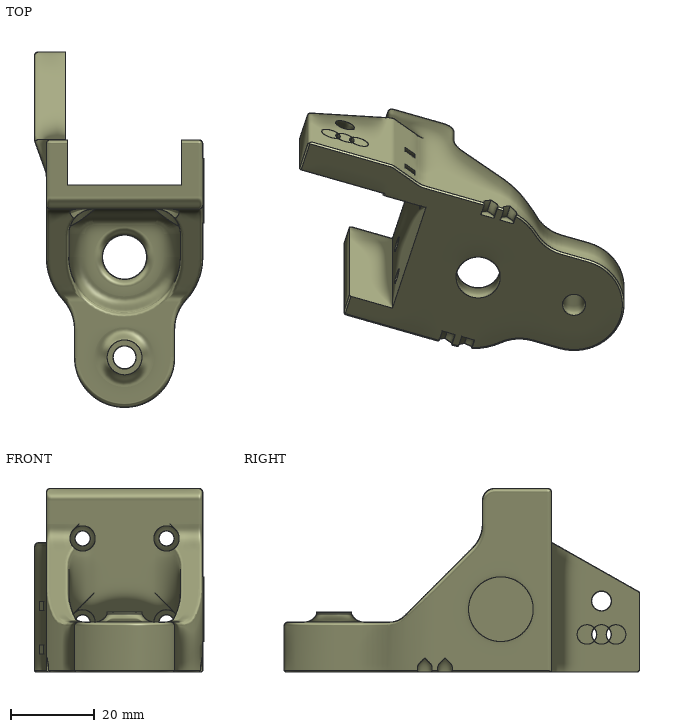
import cadquery as cq
import math

HEIGHT = 43.9
HALF_WIDTH = 18.7
BACK_Y = 52.0
WALL_FRONT_Y = 35.4
CHANNEL_HALF_WIDTH = 13.6
CHANNEL_FRONT_Y = 41.2
EDGE_ROUND = 1.0
BASE_CHAMFER = 0.4
TOLERANCE = 0.04

ARM_RADIUS = 12.0
ARM_TOP = 12.0
NECK_START_Y = 6.8
BORE_Y = 23.9
SHOULDER_RADIUS = 15.0
SLOPE_OFFSET = 3.4
CROWN_RADIUS = 3.0
WALL_SLOPE_RADIUS = 8.0
ARM_SLOPE_RADIUS = 5.0
PROFILE_MARGIN = 8.5

POCKET_FLOOR = 8.0
POCKET_RADIUS = 13.3
POCKET_CORNER_RADIUS = 6.0
POCKET_FLOOR_RADIUS = 3.9

BORE_DIAMETER = 10.5
BORE_LIP_RADIUS = 1.95
ARM_HOLE_DIAMETER = 5.4
BOSS_DIAMETER = 8.3
BOSS_HEIGHT = 2.4
BOSS_LAND = 0.4
BOSS_FLARE = 3.0

BOLT_PITCH = 20.0
BOLT_LOWER_Z = 11.9
BOLT_DIAMETER = 3.6
BOLT_HEAD_DIAMETER = 6.0
BOLT_HEAD_RECESS = 3.0

CABLE_DIAMETER = 3.6
CABLE_AXIS_Z = 0.85
CABLE_DEPTH = 3.0
CABLE_YS = (21.65, 26.5)

DISC_DIAMETER = 15.45
DISC_THICKNESS = 0.3
DISC_Y = 39.8
DISC_Z = 15.0

PLATE_OUTER_X = -21.6
PLATE_INNER_X = -14.1
PLATE_END_Y = 84.9 - ARM_RADIUS
PLATE_END_Z = 19.1
PLATE_SLOPE_ANGLE = 29.5
PLATE_TOP = 30.9
WEDGE_BACK_Y = 51.9
WEDGE_FRONT_Y = 43.9
WEDGE_ROOT_LENGTH = 2.55
WEDGE_ROOT_DEPTH = 3.4
WEDGE_CONVEX_RADIUS = 3.0
WEDGE_CONCAVE_RADIUS = 6.0

INSERT_DIAMETER = 4.7
INSERT_Y = 63.85
INSERT_UPPER_Z = 17.0
INSERT_LOWER_Z = 9.0
INSERT_PITCH = 3.5
PLUG_NECK = 0.1

TIE_CENTRE_Y = 47.0
TIE_CENTRE_Z = 10.6
TIE_WIDTH = 3.0
TIE_LEAD = 2.2
TIE_OUTER_RADIUS = 8.5
TIE_INNER_RADIUS = 7.05
TIE_AXIS_OFFSET = 5.7


def bracket_plan():
    """Plan outline: wide body, rounded shoulders, necks and a round arm end."""
    shoulder_x = HALF_WIDTH - SHOULDER_RADIUS
    rise = BORE_Y - NECK_START_Y
    neck_gap = ARM_RADIUS - shoulder_x
    neck_radius = (SHOULDER_RADIUS**2 - neck_gap**2 - rise**2) / (2 * (neck_gap - SHOULDER_RADIUS))
    neck_x = ARM_RADIUS + neck_radius
    angle = math.atan2(rise, neck_x - shoulder_x)

    def shoulder(a):
        return shoulder_x + SHOULDER_RADIUS * math.cos(a), BORE_Y - SHOULDER_RADIUS * math.sin(a)

    def neck(a):
        return neck_x - neck_radius * math.cos(a), NECK_START_Y + neck_radius * math.sin(a)

    def mirrored(point):
        return -point[0], point[1]

    return (
        cq.Workplane("XY")
        .moveTo(-HALF_WIDTH, BACK_Y)
        .lineTo(HALF_WIDTH, BACK_Y)
        .lineTo(*shoulder(0))
        .threePointArc(shoulder(angle / 2), shoulder(angle))
        .threePointArc(neck(angle / 2), neck(0))
        .lineTo(ARM_RADIUS, 0)
        .threePointArc((0, -ARM_RADIUS), (-ARM_RADIUS, 0))
        .lineTo(*mirrored(neck(0)))
        .threePointArc(mirrored(neck(angle / 2)), mirrored(neck(angle)))
        .threePointArc(mirrored(shoulder(angle / 2)), mirrored(shoulder(0)))
        .close()
    )


def side_profile():
    """Side shape across the width: tall wall, 45 degree slope, low arm."""
    slope_top_z = WALL_FRONT_Y - SLOPE_OFFSET
    slope_foot_y = ARM_TOP + SLOPE_OFFSET
    profile = (
        cq.Workplane("YZ")
        .moveTo(BACK_Y, 0)
        .lineTo(BACK_Y, HEIGHT)
        .lineTo(WALL_FRONT_Y, HEIGHT)
        .lineTo(WALL_FRONT_Y, slope_top_z)
        .lineTo(slope_foot_y, ARM_TOP)
        .lineTo(-ARM_RADIUS - PROFILE_MARGIN, ARM_TOP)
        .lineTo(-ARM_RADIUS - PROFILE_MARGIN, 0)
        .close()
        .extrude(HALF_WIDTH + PROFILE_MARGIN, both=True)
    )
    corners = (
        ((WALL_FRONT_Y, HEIGHT), CROWN_RADIUS),
        ((WALL_FRONT_Y, slope_top_z), WALL_SLOPE_RADIUS),
        ((slope_foot_y, ARM_TOP), ARM_SLOPE_RADIUS),
    )
    for (y, z), radius in corners:
        profile = profile.edges(cq.selectors.NearestToPointSelector((0, y, z))).fillet(radius)
    return profile


def bracket_block():
    """Solid bracket with its base chamfer and rounded edges."""
    block = bracket_plan().extrude(HEIGHT).intersect(side_profile())
    block = block.faces("<Z").edges().chamfer(BASE_CHAMFER)
    above_arm = cq.selectors.BoxSelector(
        (-2 * HALF_WIDTH, -2 * ARM_RADIUS, ARM_TOP - TOLERANCE),
        (2 * HALF_WIDTH, 2 * BACK_Y, HEIGHT + TOLERANCE),
        boundingbox=True,
    )
    rim = block.edges("not |X").edges(above_arm)
    back_corners = block.edges("|Z").edges(">Y")
    top_back_edge = block.faces(">Z").edges(">Y")
    return block.newObject(rim.vals() + back_corners.vals() + top_back_edge.vals()).fillet(EDGE_ROUND)


def pocket():
    """Deep scoop between the wall and the arm with rounded floor edges."""
    tool = (
        cq.Workplane("XY", origin=(0, 0, POCKET_FLOOR))
        .moveTo(-POCKET_RADIUS, BORE_Y)
        .threePointArc((0, BORE_Y - POCKET_RADIUS), (POCKET_RADIUS, BORE_Y))
        .lineTo(POCKET_RADIUS, WALL_FRONT_Y)
        .lineTo(-POCKET_RADIUS, WALL_FRONT_Y)
        .close()
        .extrude(HEIGHT)
    )
    tool = tool.edges("|Z and >Y").fillet(POCKET_CORNER_RADIUS)
    return tool.faces("<Z").edges().fillet(POCKET_FLOOR_RADIUS)


def with_pocket(body):
    """Cut the pocket and round its rim along the arm and the slope."""
    body = body.cut(pocket())
    reach = POCKET_RADIUS + TOLERANCE
    rim_box = cq.selectors.BoxSelector(
        (-reach, BORE_Y - reach, ARM_TOP - TOLERANCE),
        (reach, WALL_FRONT_Y, WALL_FRONT_Y - SLOPE_OFFSET),
        boundingbox=True,
    )
    return body.edges("not (|X or |Z)").edges(rim_box).fillet(EDGE_ROUND)


def flared_bore():
    """Large through bore with a rounded lip at the pocket floor."""
    radius = BORE_DIAMETER / 2
    lip = BORE_LIP_RADIUS
    middle = lip * (1 - math.sqrt(0.5))
    return (
        cq.Workplane("XZ", origin=(0, BORE_Y, 0))
        .moveTo(0, 0)
        .lineTo(radius, 0)
        .lineTo(radius, POCKET_FLOOR - lip)
        .threePointArc((radius + middle, POCKET_FLOOR - middle), (radius + lip, POCKET_FLOOR))
        .lineTo(0, POCKET_FLOOR)
        .close()
        .revolve(360, (0, 0, 0), (0, 1, 0))
    )


def flared_boss():
    """Bearing seat on the arm, with a concave foot."""
    radius = BOSS_DIAMETER / 2
    flare_height = BOSS_HEIGHT - BOSS_LAND
    foot = radius + BOSS_FLARE
    chord = math.hypot(BOSS_FLARE, flare_height)
    curve_radius = chord**2 / (2 * flare_height)
    half_turn = math.asin(BOSS_FLARE / curve_radius) / 2
    middle = (
        foot - curve_radius * math.sin(half_turn),
        ARM_TOP + curve_radius * (1 - math.cos(half_turn)),
    )
    return (
        cq.Workplane("XZ")
        .moveTo(0, ARM_TOP)
        .lineTo(foot, ARM_TOP)
        .threePointArc(middle, (radius, ARM_TOP + flare_height))
        .lineTo(radius, ARM_TOP + BOSS_HEIGHT)
        .lineTo(0, ARM_TOP + BOSS_HEIGHT)
        .close()
        .revolve(360, (0, 0, 0), (0, 1, 0))
    )


def cylinder_y(x, z, diameter, y_from, y_to):
    return (
        cq.Workplane("XZ", origin=(x, y_from, z))
        .circle(diameter / 2)
        .extrude(y_from - y_to)
    )


def bolt_cutters():
    """Four bolt holes through the wall with head clearance on the pocket side."""
    cutters = []
    for side in (-1, 1):
        x = side * BOLT_PITCH / 2
        for z in (BOLT_LOWER_Z, BOLT_LOWER_Z + BOLT_PITCH):
            head_start_y = WALL_FRONT_Y - POCKET_CORNER_RADIUS
            head_seat_y = WALL_FRONT_Y + BOLT_HEAD_RECESS
            cutters.append(cylinder_y(x, z, BOLT_DIAMETER, WALL_FRONT_Y, CHANNEL_FRONT_Y))
            cutters.append(cylinder_y(x, z, BOLT_HEAD_DIAMETER, head_start_y, head_seat_y))
            cutters.append(bolt_head_relief(side, z))
    return cutters


def bolt_head_relief(side, z):
    """Sloping 45 degree ceiling over a bolt head, up to the flat of the wall."""
    x = BOLT_PITCH / 2
    radius = BOLT_HEAD_DIAMETER / 2
    tangent = radius * math.sqrt(0.5)
    flat_x = POCKET_RADIUS - POCKET_CORNER_RADIUS
    ceiling_z = z + radius * math.sqrt(2) + x - flat_x
    return (
        cq.Workplane("XZ", origin=(0, WALL_FRONT_Y, 0))
        .moveTo(side * flat_x, z)
        .lineTo(side * flat_x, ceiling_z)
        .lineTo(side * (x + tangent), z + tangent)
        .lineTo(side * x, z)
        .close()
        .extrude(POCKET_CORNER_RADIUS)
    )


def cable_notch(side, y):
    """Blind teardrop notch along the underside."""
    radius = CABLE_DIAMETER / 2
    tangent = radius * math.sqrt(0.5)
    start_x = side * (HALF_WIDTH - CABLE_DEPTH)
    return (
        cq.Workplane("YZ", origin=(start_x, y, CABLE_AXIS_Z))
        .moveTo(-tangent, tangent)
        .lineTo(0, radius * math.sqrt(2))
        .lineTo(tangent, tangent)
        .threePointArc((0, -radius), (-tangent, tangent))
        .close()
        .extrude(side * 2 * CABLE_DEPTH)
    )


def raised_disc():
    return (
        cq.Workplane("YZ", origin=(HALF_WIDTH, DISC_Y, DISC_Z))
        .circle(DISC_DIAMETER / 2)
        .extrude(DISC_THICKNESS)
    )


def side_plate():
    """Plate behind the left leg, joined to the housing side by a tapering wedge."""
    root_x = -HALF_WIDTH + WEDGE_ROOT_DEPTH
    root_y = WEDGE_FRONT_Y - WEDGE_ROOT_LENGTH
    plate = (
        cq.Workplane("XY")
        .moveTo(PLATE_INNER_X, PLATE_END_Y)
        .lineTo(PLATE_OUTER_X, PLATE_END_Y)
        .lineTo(PLATE_OUTER_X, WEDGE_BACK_Y)
        .lineTo(-HALF_WIDTH, WEDGE_FRONT_Y)
        .lineTo(-HALF_WIDTH, root_y)
        .lineTo(root_x, root_y)
        .lineTo(PLATE_INNER_X, WEDGE_BACK_Y - 0.85)
        .close()
        .extrude(PLATE_TOP)
    )
    convex = cq.selectors.NearestToPointSelector((PLATE_OUTER_X, WEDGE_BACK_Y, PLATE_TOP / 2))
    concave = cq.selectors.NearestToPointSelector((-HALF_WIDTH, WEDGE_FRONT_Y, PLATE_TOP / 2))
    plate = plate.edges(convex).fillet(WEDGE_CONVEX_RADIUS)
    plate = plate.edges(concave).fillet(WEDGE_CONCAVE_RADIUS)

    slope_run = (PLATE_TOP - PLATE_END_Z) / math.tan(math.radians(PLATE_SLOPE_ANGLE))
    above_slope = (
        cq.Workplane("YZ")
        .moveTo(PLATE_END_Y, PLATE_END_Z)
        .lineTo(PLATE_END_Y - slope_run, PLATE_TOP)
        .lineTo(PLATE_END_Y, PLATE_TOP)
        .close()
        .extrude(2 * PLATE_OUTER_X)
    )
    plate = plate.cut(above_slope)
    plate = plate.faces("<Z").edges("<X or >Y").chamfer(BASE_CHAMFER)
    end_edge = plate.edges("|Z").edges(">Y").edges("<X")
    slope_edge = plate.edges(cq.selectors.NearestToPointSelector(
        (PLATE_OUTER_X, PLATE_END_Y - slope_run / 2, (PLATE_END_Z + PLATE_TOP) / 2)
    ))
    wedge_edges = plate.faces(">Z").edges(cq.selectors.BoxSelector(
        (PLATE_OUTER_X - 0.85, root_y + 0.85, PLATE_TOP - 0.85), (-HALF_WIDTH + 0.1, WEDGE_BACK_Y + 0.85, PLATE_TOP + 0.85)
    ))
    outer_edges = end_edge.vals() + slope_edge.vals() + wedge_edges.vals()
    return plate.newObject(outer_edges).fillet(EDGE_ROUND)


def tie_channel():
    """Cable-tie tunnel: two straight mouths in the wedge face joined by a bend."""
    taper = math.atan2(-HALF_WIDTH - PLATE_OUTER_X, WEDGE_BACK_Y - WEDGE_FRONT_Y)
    face_x = -HALF_WIDTH - (TIE_CENTRE_Y - WEDGE_FRONT_Y) * math.tan(taper)
    mouth_outer = math.sqrt(TIE_OUTER_RADIUS**2 - TIE_AXIS_OFFSET**2)
    mouth_inner = math.sqrt(TIE_INNER_RADIUS**2 - TIE_AXIS_OFFSET**2)
    bend_outer_x = TIE_LEAD - TIE_AXIS_OFFSET + TIE_OUTER_RADIUS
    bend_inner_x = TIE_LEAD - TIE_AXIS_OFFSET + TIE_INNER_RADIUS
    tunnel = (
        cq.Workplane("XZ")
        .moveTo(-TIE_LEAD, mouth_outer)
        .lineTo(TIE_LEAD, mouth_outer)
        .threePointArc((bend_outer_x, 0), (TIE_LEAD, -mouth_outer))
        .lineTo(-TIE_LEAD, -mouth_outer)
        .lineTo(-TIE_LEAD, -mouth_inner)
        .lineTo(TIE_LEAD, -mouth_inner)
        .threePointArc((bend_inner_x, 0), (TIE_LEAD, mouth_inner))
        .lineTo(-TIE_LEAD, mouth_inner)
        .close()
        .extrude(TIE_WIDTH / 2, both=True)
        .rotate((0, 0, 0), (0, 0, 1), math.degrees(taper))
    )
    return tunnel.translate((face_x, TIE_CENTRE_Y, TIE_CENTRE_Z))


def insert_cylinder(y, z, diameter):
    return (
        cq.Workplane("YZ", origin=(PLATE_OUTER_X, y, z))
        .circle(diameter / 2)
        .extrude(PLATE_INNER_X - PLATE_OUTER_X)
    )


def insert_row():
    """Three overlapping cylinders through the side plate."""
    row = insert_cylinder(INSERT_Y, INSERT_LOWER_Z, INSERT_DIAMETER)
    for side in (-1, 1):
        row = row.union(insert_cylinder(INSERT_Y + side * INSERT_PITCH, INSERT_LOWER_Z, INSERT_DIAMETER))
    return row


def make_housing():
    body = with_pocket(bracket_block())
    body = body.union(flared_boss()).union(raised_disc()).union(side_plate())
    channel_depth = BACK_Y - CHANNEL_FRONT_Y
    channel = cq.Workplane("XY").box(
        2 * CHANNEL_HALF_WIDTH, channel_depth, HEIGHT, centered=(True, False, False)
    )
    body = body.cut(channel.translate((0, CHANNEL_FRONT_Y, 0)))
    body = body.cut(flared_bore())
    body = body.cut(cq.Workplane("XY").circle(ARM_HOLE_DIAMETER / 2).extrude(HEIGHT))
    for cutter in bolt_cutters():
        body = body.cut(cutter)
    for side in (-1, 1):
        for y in CABLE_YS:
            body = body.cut(cable_notch(side, y))
    body = body.cut(tie_channel())
    body = body.cut(insert_cylinder(INSERT_Y, INSERT_UPPER_Z, INSERT_DIAMETER))
    return body.cut(insert_row())


def make_plug():
    """Filler of the row of holes, open where neighbouring circles overlap."""
    plug = insert_row()
    slot_diameter = INSERT_DIAMETER - PLUG_NECK
    middle = insert_cylinder(INSERT_Y, INSERT_LOWER_Z, slot_diameter)
    for side in (-1, 1):
        outer = insert_cylinder(INSERT_Y + side * INSERT_PITCH, INSERT_LOWER_Z, slot_diameter)
        plug = plug.cut(middle.intersect(outer))
    return plug


housing = make_housing()
plug = make_plug()
result = cq.Compound.makeCompound([housing.val(), plug.val()])